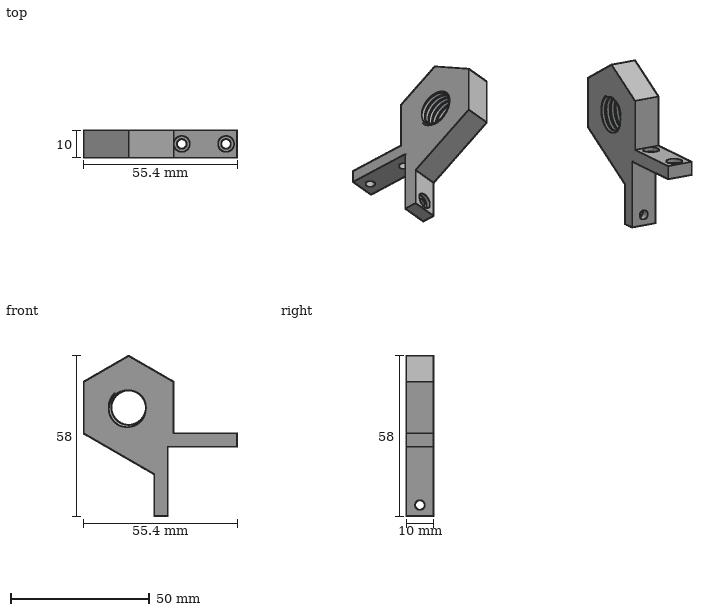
import cadquery as cq
import math

thickness = 10.0
hex_apothem = 16.25
hex_slope = math.tan(math.radians(30))
hex_half_side = hex_apothem * hex_slope
hex_radius = 2 * hex_half_side

arm_thickness = 5.0
arm_length = 30.0
arm_reach = 39.196
arm_outer_face = arm_reach - arm_length
arm_inner_face = arm_outer_face + arm_thickness

screw_diameter = 3.4
counterbore_diameter = 5.8
counterbore_depth = 1.5
screw_end_distance = 4.0
screw_spacing = 16.0
outer_screw = arm_reach - screw_end_distance
inner_screw = outer_screw - screw_spacing

bore_radius = 6.2
bore_runout = 1.0
thread_pitch = 2.0
thread_crest_width = thread_pitch / 4
thread_root_width = thread_pitch / 8
flank_slope = math.tan(math.radians(30))
thread_depth = (thread_pitch - thread_crest_width - thread_root_width) / 2 / flank_slope
thread_overlap = 0.2
thread_runout_turns = 1
thread_start_angle = 220.0


def make_body():
    """Hexagon whose lower left side runs on down to the vertical arm."""
    slope_end = -hex_half_side - (hex_apothem + arm_outer_face) * hex_slope
    outline = [
        (0, hex_radius),
        (hex_apothem, hex_half_side),
        (hex_apothem, -arm_outer_face),
        (arm_reach, -arm_outer_face),
        (arm_reach, -arm_inner_face),
        (arm_inner_face, -arm_inner_face),
        (arm_inner_face, -arm_reach),
        (arm_outer_face, -arm_reach),
        (arm_outer_face, slope_end),
        (-hex_apothem, -hex_half_side),
        (-hex_apothem, hex_half_side),
    ]
    return cq.Workplane("XZ").polyline(outline).close().extrude(-thickness)


def make_bore():
    """Round bore that runs out past both faces."""
    length = thickness + 2 * bore_runout
    return cq.Workplane("XZ", origin=(0, -bore_runout, 0)).circle(bore_radius).extrude(-length)


def make_thread_groove():
    """Right-hand helical groove that runs out past both faces."""
    runout = thread_runout_turns * thread_pitch
    helix = cq.Wire.makeHelix(thread_pitch, thickness + 2 * runout, bore_radius)
    root_radius = bore_radius + thread_depth
    root_half = thread_root_width / 2
    base_radius = bore_radius - thread_overlap
    base_half = root_half + (root_radius - base_radius) * flank_slope
    profile = [
        (base_radius, -base_half),
        (root_radius, -root_half),
        (root_radius, root_half),
        (base_radius, base_half),
    ]
    groove = cq.Workplane("XZ").polyline(profile).close().sweep(cq.Workplane(helix), isFrenet=True)
    return (
        groove.translate((0, 0, -runout))
        .rotate((0, 0, 0), (1, 0, 0), -90)
        .rotate((0, 0, 0), (0, 1, 0), -thread_start_angle)
    )


def make_screw_cutter(entry, direction):
    """Counterbored hole through an arm, entering at a point on its outer face."""
    plane = cq.Plane(origin=entry, xDir=(0, 1, 0), normal=direction)
    shank = cq.Workplane(plane).circle(screw_diameter / 2).extrude(arm_thickness)
    head = cq.Workplane(plane).circle(counterbore_diameter / 2).extrude(counterbore_depth)
    return shank.union(head)


result = make_body().cut(make_thread_groove()).cut(make_bore())

mid_thickness = thickness / 2
for screw_x in (inner_screw, outer_screw):
    result = result.cut(make_screw_cutter((screw_x, mid_thickness, -arm_outer_face), (0, 0, -1)))
result = result.cut(make_screw_cutter((arm_outer_face, mid_thickness, -outer_screw), (1, 0, 0)))